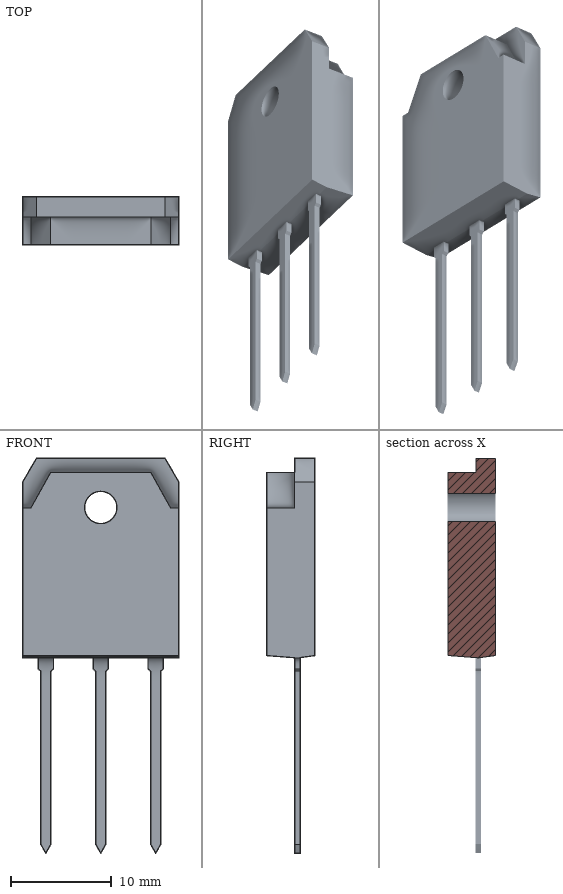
import cadquery as cq

height = 39.3
width = 15.52
depth = 4.8

tab_thickness = 2.0
tab_bevel_width = 1.38
tab_bevel_height = 2.35
body_bottom = 19.65
shoulder_z = height - 4.95
shoulder_width = 0.83
nose_top = height - 1.4
nose_top_inset = 2.8
hole_diameter = 3.2
hole_z = height - 4.9

pin_pitch = 5.45
pin_count = 3
pin_width = 1.02
pin_root_width = 1.55
pin_thickness = 0.6
pin_root_end = 18.35
pin_neck_end = 18.1
pin_point_height = 0.9
pin_center_y = -1.73

ridge_z = body_bottom - 0.25


def mirrored_profile(right_side, front_y, thickness):
    """Extrude a symmetric XZ outline, given its right side, toward +Y from front_y."""
    left_side = [(-x, z) for x, z in reversed(right_side) if x > 0]
    workplane = cq.Workplane("XZ", origin=(0, front_y, 0))
    return workplane.polyline(right_side + left_side).close().extrude(-thickness)


def make_base():
    """Full-depth lower block with its ridged underside."""
    side_outline = [
        (-depth, shoulder_z),
        (-depth, body_bottom),
        (pin_center_y, ridge_z),
        (0, body_bottom),
        (0, shoulder_z),
    ]
    return cq.Workplane("YZ").polyline(side_outline).close().extrude(width / 2, both=True)


def make_tab():
    """Back plate with bevelled upper corners."""
    right_side = [
        (width / 2, body_bottom),
        (width / 2, height - tab_bevel_height),
        (width / 2 - tab_bevel_width, height),
    ]
    return mirrored_profile(right_side, -tab_thickness, tab_thickness)


def make_nose():
    """Tapered front part above the shoulders."""
    right_side = [
        (width / 2 - shoulder_width, body_bottom),
        (width / 2 - shoulder_width, shoulder_z),
        (width / 2 - nose_top_inset, nose_top),
    ]
    return mirrored_profile(right_side, -depth, depth - tab_thickness)


def make_pin():
    """Pointed flat pin with a wider root, ending inside the body."""
    right_side = [
        (0, 0),
        (pin_width / 2, pin_point_height),
        (pin_width / 2, pin_neck_end),
        (pin_root_width / 2, pin_root_end),
        (pin_root_width / 2, body_bottom),
    ]
    return mirrored_profile(right_side, pin_center_y - pin_thickness / 2, pin_thickness)


result = make_base().union(make_tab()).union(make_nose())

hole = cq.Workplane("XZ").center(0, hole_z).circle(hole_diameter / 2).extrude(depth)
result = result.cut(hole)

pin = make_pin()
for index in range(pin_count):
    pin_x = (index - (pin_count - 1) / 2) * pin_pitch
    result = result.union(pin.translate((pin_x, 0, 0)))

result = result.clean()